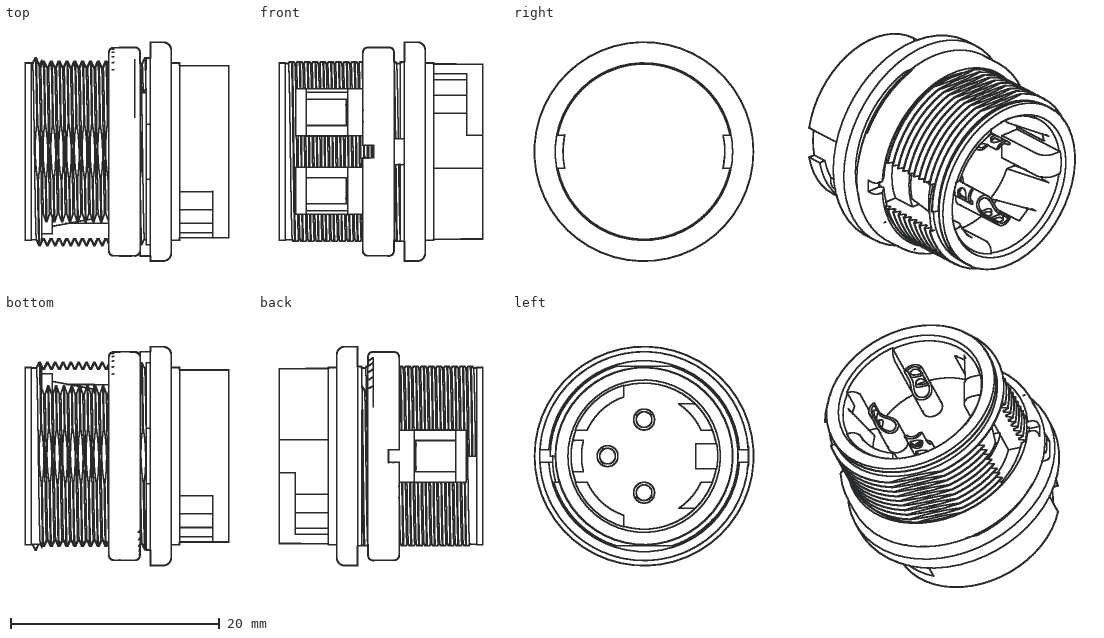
import cadquery as cq
import math


THREAD_START = 0.6
FLANGE_START = 12.0
FLANGE_END = 14.0
SHOULDER_END = 14.8
TOTAL_LENGTH = 19.5

SHOULDER_DIA = 17.0
FLANGE_DIA = 21.0
FLANGE_FILLET = 0.8
PLUG_DIA = 16.8

THREAD_DIA = 18.0
THREAD_ROOT_DIA = 16.9
THREAD_PITCH = 0.75
THREAD_FIRST_CREST = 1.0
THREAD_END = 11.6
CREST_FLAT = 0.08
ROOT_FLAT = 0.15
ROOT_OVERLAP = 0.05
HELIX_TURN = -90
FLAT_HEIGHT = 8.6
RUNOUT_LENGTH = 0.4

BORE_DIA = 14.0
MOUTH_DIA = 14.6
MOUTH_CHAMFER_LENGTH = 0.5
BORE_DEPTH = 6.55

WINDOW_RECESS_START = 1.6
WINDOW_START = 2.6
WINDOW_END = 9.0
RECESS_FLOOR_DIA = 16.0
FINGER_CLEARANCE = 1.0
FINGER_END = BORE_DEPTH - 0.15
FINGER_TIP_INNER_RADIUS = 6.0
FINGER_TIP_OUTER_RADIUS = 6.9
FINGER_ROOT_OUTER_RADIUS = 7.57
FINGER_SPANS = [(1, -1.5, 1.5), (-1, 2.5, 5.0), (-1, -5.0, -2.5)]

WALL_MID_RADIUS = (BORE_DIA + RECESS_FLOOR_DIA) / 4
INNER_START = 0.4
SEGMENT_INNER_DIA = 12.0
SEGMENT_FILLET = 0.8
SEGMENT_MIN_Y = 1.95
SEGMENT_MIN_Z = 2.5
KEY_WIDTH = 2.4
KEY_INNER_Y = -4.95
KEY_NOSE_RADIUS = 1.23

PIN_CIRCLE_RADIUS = 3.5
PIN_ANGLES = [-90, 0, 90]
PIN_DIA = 2.0
CUP_BORE_DIA = 1.5
CUP_HOLE_DIA = 1.2
CUP_HOLE_STATIONS = [1.75, 3.35]
PIN_START = 0.8
CUP_BORE_END = 5.5
CUP_CUT_OFFSET = 0.45
SCOOP_START = 2.2
SCOOP_RADIUS = 1.6

NUT_START = 8.0
NUT_END = 11.0
NUT_DIA = 20.0
NUT_FILLET = 0.5
NUT_MOUTH_DIA = 18.3
NUT_MOUTH_DEPTH = 0.6
NUT_SLOT_WIDTH = 1.2
NUT_SLOT_DEPTH = 1.05

LUG_WIDTH = 2.5
LUG_TIP_RADIUS = 10.0
LUG_FILLET = 0.45

SLOT_HALF_WIDTH = 1.58
SLOT_FLOOR_DIA = 15.5
SLOT_TURN_END = 17.95
SLOT_END_ANGLE = 62.9
BUMP_START_ANGLE = 28.2
BUMP_END_ANGLE = 44.4
BUMP_HEIGHT = 0.4
SLOT_ANGLES = [0, 180]

JOIN_OVERLAP = 0.01
FAR = 30.0


def rod(diameter, start, end):
    """Solid cylinder on the X axis."""
    return cq.Workplane("YZ", origin=(start, 0, 0)).circle(diameter / 2).extrude(end - start)


def block(x0, x1, y0, y1, z0, z1):
    """Box given by its corner coordinates, in any order along each axis."""
    size = (abs(x1 - x0), abs(y1 - y0), abs(z1 - z0))
    centre = ((x0 + x1) / 2, (y0 + y1) / 2, (z0 + z1) / 2)
    return cq.Workplane("XY").box(*size).translate(centre)


def revolved(points):
    """Closed (x, radius) outline turned about the X axis."""
    return cq.Workplane("XY").polyline(points).close().revolve(360, (0, 0, 0), (1, 0, 0))


def polar(radius, angle):
    """Point in the YZ plane; the angle runs from -Y towards +Z."""
    a = math.radians(angle)
    return (-radius * math.cos(a), radius * math.sin(a))


def thread_ridge():
    """Right-hand helical ridge, rooted just below the barrel surface."""
    slope = (CREST_FLAT + ROOT_FLAT - THREAD_PITCH) / (THREAD_DIA - THREAD_ROOT_DIA)
    base_radius = THREAD_ROOT_DIA / 2 - ROOT_OVERLAP
    half_base = (THREAD_PITCH - ROOT_FLAT) / 2 - slope * ROOT_OVERLAP
    corners = [
        (-half_base, base_radius),
        (-CREST_FLAT / 2, THREAD_DIA / 2),
        (CREST_FLAT / 2, THREAD_DIA / 2),
        (half_base, base_radius),
    ]
    axis = cq.Vector(1, 0, 0)
    length = THREAD_END - THREAD_FIRST_CREST
    helices = []
    for offset, radius in corners:
        origin = cq.Vector(THREAD_FIRST_CREST + offset, 0, 0)
        helices.append(cq.Wire.makeHelix(THREAD_PITCH, length, radius, origin, axis))
    neighbours = helices[1:] + helices[:1]
    faces = [cq.Face.makeRuledSurface(one, other) for one, other in zip(helices, neighbours)]
    for ends in ([h.startPoint() for h in helices], [h.endPoint() for h in helices]):
        faces.append(cq.Face.makeFromWires(cq.Wire.makePolygon(ends, close=True)))
    ridge = cq.Solid.makeSolid(cq.Shell.makeShell(faces))
    return cq.Workplane(obj=ridge.rotate(cq.Vector(0, 0, 0), axis, HELIX_TURN))


def rear_bore():
    return revolved([
        (0, 0),
        (0, MOUTH_DIA / 2),
        (MOUTH_CHAMFER_LENGTH, BORE_DIA / 2),
        (BORE_DEPTH, BORE_DIA / 2),
        (BORE_DEPTH, 0),
    ])


def window_cutter(side, z_low, z_high):
    """Full opening beside the finger, with a shallow recess at its rear end."""
    z0 = z_low - FINGER_CLEARANCE
    z1 = z_high + FINGER_CLEARANCE
    opening = block(WINDOW_START, WINDOW_END, 0, side * FAR, z0, z1)
    opening = opening.cut(rod(BORE_DIA, WINDOW_START, WINDOW_END))
    recess = block(WINDOW_RECESS_START, WINDOW_START, 0, side * FAR, z0, z1)
    recess = recess.cut(rod(RECESS_FLOOR_DIA, WINDOW_RECESS_START, WINDOW_START))
    return opening.union(recess)


def barrel_cutters():
    """Top and bottom flats together with the three windows."""
    upper_flat = block(0, FLANGE_START, -FAR, FAR, FLAT_HEIGHT, FAR)
    cutters = upper_flat.union(upper_flat.mirror("XY"))
    for span in FINGER_SPANS:
        cutters = cutters.union(window_cutter(*span))
    return cutters


def threaded_barrel():
    barrel = rod(THREAD_ROOT_DIA, 0, FLANGE_START)
    barrel = barrel.union(rod(SHOULDER_DIA, 0, THREAD_START))
    barrel = barrel.union(rod(THREAD_DIA, FLANGE_START - RUNOUT_LENGTH, FLANGE_START))
    barrel = barrel.cut(rear_bore())
    return barrel.union(thread_ridge(), clean=False).cut(barrel_cutters(), clean=False)


def snap_fingers():
    """Fingers that lean in from the shell wall towards the insert."""
    cone = revolved([
        (WINDOW_RECESS_START, BORE_DIA / 2),
        (WINDOW_RECESS_START, FINGER_ROOT_OUTER_RADIUS),
        (WINDOW_START, FINGER_ROOT_OUTER_RADIUS),
        (FINGER_END, FINGER_TIP_OUTER_RADIUS),
        (FINGER_END, FINGER_TIP_INNER_RADIUS),
    ])
    fingers = cq.Workplane("XY")
    for side, z_low, z_high in FINGER_SPANS:
        fingers = fingers.add(cone.intersect(block(0, BORE_DEPTH, 0, side * FAR, z_low, z_high)))
    return fingers.combine()


def guide_segments():
    inner = SEGMENT_INNER_DIA / 2
    outer = WALL_MID_RADIUS
    end = BORE_DEPTH + JOIN_OVERLAP
    corner = SEGMENT_FILLET * (1 - math.sqrt(0.5))
    ring = (
        cq.Workplane("XY")
        .moveTo(INNER_START, outer)
        .lineTo(INNER_START, inner + SEGMENT_FILLET)
        .threePointArc((INNER_START + corner, inner + corner), (INNER_START + SEGMENT_FILLET, inner))
        .lineTo(end, inner)
        .lineTo(end, outer)
        .close()
        .revolve(360, (0, 0, 0), (1, 0, 0))
    )
    upper = ring.intersect(block(0, end, SEGMENT_MIN_Y, FAR, SEGMENT_MIN_Z, FAR))
    return upper.union(upper.mirror("XY"))


def bore_key():
    end = BORE_DEPTH + JOIN_OVERLAP
    half = KEY_WIDTH / 2
    key = block(INNER_START, end, -WALL_MID_RADIUS, KEY_INNER_Y, -half, half)
    return key.edges("<X and >Y").fillet(KEY_NOSE_RADIUS)


def solder_cup():
    """One cup in place at +Y, cut open on the side that faces the axis."""
    cup = rod(PIN_DIA, PIN_START, BORE_DEPTH + JOIN_OVERLAP)
    cup = cup.cut(rod(CUP_BORE_DIA, PIN_START, CUP_BORE_END))
    low = CUP_CUT_OFFSET - SCOOP_RADIUS
    diagonal = SCOOP_RADIUS * math.sqrt(0.5)
    scoop = (
        cq.Workplane("XY", origin=(0, 0, -PIN_DIA))
        .moveTo(0, CUP_CUT_OFFSET)
        .lineTo(SCOOP_START, CUP_CUT_OFFSET)
        .threePointArc((SCOOP_START + diagonal, low + diagonal), (SCOOP_START + SCOOP_RADIUS, low))
        .lineTo(0, low)
        .close()
        .extrude(2 * PIN_DIA)
    )
    cup = cup.cut(scoop)
    for station in CUP_HOLE_STATIONS:
        hole = cq.Workplane("XZ", origin=(station, 0, 0)).circle(CUP_HOLE_DIA / 2).extrude(-PIN_DIA)
        cup = cup.cut(hole)
    return cup.translate((0, PIN_CIRCLE_RADIUS, 0))


def ring_nut():
    nut = rod(NUT_DIA, NUT_START, NUT_END).edges().fillet(NUT_FILLET)
    nut = nut.cut(revolved([
        (NUT_START, 0),
        (NUT_START, NUT_MOUTH_DIA / 2),
        (NUT_START + NUT_MOUTH_DEPTH, THREAD_ROOT_DIA / 2 - ROOT_OVERLAP),
        (NUT_END, THREAD_ROOT_DIA / 2 - ROOT_OVERLAP),
        (NUT_END, 0),
    ]))
    half = NUT_SLOT_WIDTH / 2
    return nut.cut(block(NUT_START, NUT_START + NUT_SLOT_DEPTH, -FAR, FAR, -half, half))


def locating_lug():
    half = LUG_WIDTH / 2
    lug = block(NUT_END, FLANGE_START, -LUG_TIP_RADIUS, -SHOULDER_DIA / 2 + ROOT_OVERLAP, -half, half)
    return lug.edges("<Y and |X").fillet(LUG_FILLET)


def flange_and_plug():
    flange = rod(FLANGE_DIA, FLANGE_START, FLANGE_END).edges(">X").fillet(FLANGE_FILLET)
    shoulder = rod(SHOULDER_DIA, FLANGE_START, SHOULDER_END)
    return flange.union(shoulder).union(rod(PLUG_DIA, FLANGE_START, TOTAL_LENGTH))


def bayonet_slot():
    """L-shaped slot on the -Y side: axial entry, then a turn towards +Z with a detent bump."""
    floor_radius = SLOT_FLOOR_DIA / 2
    entry = block(SHOULDER_END, TOTAL_LENGTH, -FAR, 0, -SLOT_HALF_WIDTH, SLOT_HALF_WIDTH)
    turn = (
        cq.Workplane("YZ", origin=(SHOULDER_END, 0, 0))
        .polyline([(0, 0), polar(FAR, 0), polar(FAR, SLOT_END_ANGLE)])
        .close()
        .extrude(SLOT_TURN_END - SHOULDER_END)
    )
    bump = (
        cq.Workplane("YZ", origin=(SHOULDER_END, 0, 0))
        .moveTo(0, 0)
        .lineTo(*polar(floor_radius, BUMP_START_ANGLE))
        .threePointArc(
            polar(floor_radius + BUMP_HEIGHT, (BUMP_START_ANGLE + BUMP_END_ANGLE) / 2),
            polar(floor_radius, BUMP_END_ANGLE),
        )
        .close()
        .extrude(SLOT_TURN_END - SHOULDER_END)
    )
    return entry.union(turn).cut(rod(SLOT_FLOOR_DIA, SHOULDER_END, TOTAL_LENGTH)).cut(bump)


def build():
    plug = flange_and_plug()
    slot = bayonet_slot()
    for angle in SLOT_ANGLES:
        plug = plug.cut(slot.rotate((0, 0, 0), (1, 0, 0), angle))
    body = threaded_barrel().union(plug, clean=False)
    for fitting in (snap_fingers(), guide_segments(), bore_key(), locating_lug(), ring_nut()):
        body = body.union(fitting, clean=False)
    cup = solder_cup()
    for angle in PIN_ANGLES:
        body = body.union(cup.rotate((0, 0, 0), (1, 0, 0), angle), clean=False)
    return body


result = build()